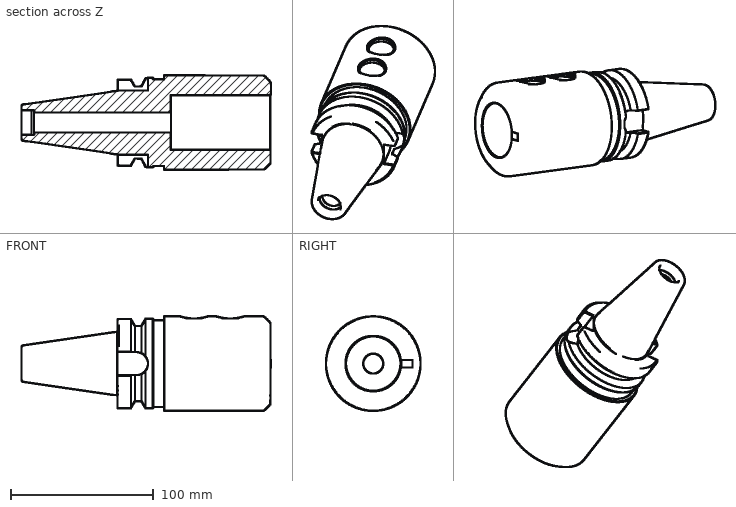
import cadquery as cq
import math

tolerance = 0.001

nose_face = 175.0
overall_length = 175.38
gauge_length = 65.4
flange_face = 67.4
flange_end = 92.65
body_start = 100.0

gauge_diameter = 44.45
taper_ratio = 7 / 24
neck_fillet = 0.4
flange_diameter = 63.0
relief_diameter = 61.0
body_diameter = 66.53

tail_fillet = 2.0
flange_fillet = 1.0
step_chamfer = 0.5
nose_chamfer = 4.8
nose_outer_fillet = 2.5
nose_inner_fillet = 1.5

groove_center = 82.0
groove_floor_width = 4.7
groove_floor_diameter = 53.2
groove_flank_angle = 60.0

keyway_width = 16.1
keyway_floor = 22.6
keyway_end = 88.9
keyway_chamfer = 0.5

thread_bore_diameter = 13.84
pilot_diameter = 17.0
pilot_depth = 7.0
pilot_mouth_fillet = 0.75
pilot_relief_diameter = 17.32
pilot_relief_depth = 9.0
pilot_relief_fillet = 0.6

tool_bore_diameter = 38.1
tool_bore_mouth_diameter = 39.1
tool_bore_depth = 70.0

screw_diameter = 17.5
screw_mouth_diameter = 20.0
screw_count = 2
screw_spacing = 25.4
last_screw_x = 146.6

pad_length = 8.0
pad_width = 5.2
pad_center = 23.7


def round_edge(solid, x, radius, fillet):
    """Fillet the circular edge of the given radius that lies in the plane at x."""

    def lies_here(edge):
        return abs(edge.Center().x - x) < tolerance and abs(edge.radius() - radius) < tolerance

    return solid.edges("%CIRCLE").filter(lies_here).fillet(fillet)


def make_blank():
    """Solid of revolution with the taper, flange, groove and body."""
    gauge_radius = gauge_diameter / 2
    tail_radius = gauge_radius - gauge_length * taper_ratio / 2
    flange_radius = flange_diameter / 2
    relief_radius = relief_diameter / 2
    body_radius = body_diameter / 2
    floor_radius = groove_floor_diameter / 2
    floor_half = groove_floor_width / 2
    flank_run = (flange_radius - floor_radius) / math.tan(math.radians(groove_flank_angle))
    profile = [
        (0, 0),
        (0, tail_radius),
        (gauge_length, gauge_radius),
        (flange_face, gauge_radius),
        (flange_face, flange_radius),
        (groove_center - floor_half - flank_run, flange_radius),
        (groove_center - floor_half, floor_radius),
        (groove_center + floor_half, floor_radius),
        (groove_center + floor_half + flank_run, flange_radius),
        (flange_end - step_chamfer, flange_radius),
        (flange_end, flange_radius - step_chamfer),
        (flange_end, relief_radius),
        (body_start, relief_radius),
        (body_start, body_radius - step_chamfer),
        (body_start + step_chamfer, body_radius),
        (nose_face - nose_chamfer, body_radius),
        (nose_face, body_radius - nose_chamfer),
        (nose_face, 0),
    ]
    blank = cq.Workplane("XZ").polyline(profile).close().revolve(360, (0, 0, 0), (1, 0, 0))

    blank = round_edge(blank, 0, tail_radius, tail_fillet)
    blank = round_edge(blank, flange_face, gauge_radius, neck_fillet)
    blank = round_edge(blank, flange_face, flange_radius, flange_fillet)
    blank = round_edge(blank, nose_face - nose_chamfer, body_radius, nose_outer_fillet)
    return round_edge(blank, nose_face, body_radius - nose_chamfer, nose_inner_fillet)


def make_bores():
    """Revolved cutter for the stepped bore running through the whole part."""
    pilot_radius = pilot_diameter / 2
    relief_radius = pilot_relief_diameter / 2
    thread_radius = thread_bore_diameter / 2
    tool_radius = tool_bore_diameter / 2
    tool_mouth_radius = tool_bore_mouth_diameter / 2
    bore_floor = nose_face - tool_bore_depth
    mid_arc_inset = 1 - math.sqrt(0.5)
    mouth_inset = pilot_mouth_fillet * mid_arc_inset
    corner_inset = pilot_relief_fillet * mid_arc_inset
    return (
        cq.Workplane("XZ")
        .moveTo(0, 0)
        .lineTo(0, pilot_radius + pilot_mouth_fillet)
        .threePointArc((mouth_inset, pilot_radius + mouth_inset), (pilot_mouth_fillet, pilot_radius))
        .lineTo(pilot_depth, pilot_radius)
        .lineTo(pilot_depth, relief_radius)
        .lineTo(pilot_relief_depth - pilot_relief_fillet, relief_radius)
        .threePointArc(
            (pilot_relief_depth - corner_inset, relief_radius - corner_inset),
            (pilot_relief_depth, relief_radius - pilot_relief_fillet),
        )
        .lineTo(pilot_relief_depth, thread_radius)
        .lineTo(bore_floor, thread_radius)
        .lineTo(bore_floor, tool_radius)
        .lineTo(nose_face - (tool_mouth_radius - tool_radius), tool_radius)
        .lineTo(nose_face, tool_mouth_radius)
        .lineTo(nose_face, 0)
        .close()
        .revolve(360, (0, 0, 0), (1, 0, 0))
    )


def make_keyway(side):
    """Round-ended cutter for the keyway on the +Y (side=1) or -Y (side=-1) face."""
    radius = keyway_width / 2
    arc_start = keyway_end - radius
    depth = body_diameter / 2 - keyway_floor
    return (
        cq.Workplane("XZ", origin=(0, side * keyway_floor, 0))
        .moveTo(flange_face, -radius)
        .lineTo(arc_start, -radius)
        .threePointArc((keyway_end, 0), (arc_start, radius))
        .lineTo(flange_face, radius)
        .close()
        .extrude(-side * depth)
    )


def make_screw_hole(x):
    """Cutter for one set screw hole from the top into the tool bore, with a countersunk mouth."""
    top = body_diameter / 2
    mouth_step = (screw_mouth_diameter - screw_diameter) / 2
    mouth_depth = top - math.sqrt(top**2 - (screw_mouth_diameter / 2) ** 2)
    profile = [
        (0, 0),
        (screw_diameter / 2, 0),
        (screw_diameter / 2, top - mouth_depth - mouth_step),
        (screw_mouth_diameter / 2, top - mouth_depth),
        (screw_mouth_diameter / 2, top),
        (0, top),
    ]
    return cq.Workplane("XZ", origin=(x, 0, 0)).polyline(profile).close().revolve(360, (0, 0, 0), (0, 1, 0))


def chamfer_keyways(solid):
    """Break the straight keyway wall edges on the front and rim of the flange."""
    wall = keyway_width / 2

    def is_wall_edge(edge):
        box = edge.BoundingBox()
        on_wall = abs(abs(box.center.z) - wall) < tolerance and box.zlen < tolerance
        on_floor = abs(abs(edge.Center().y) - keyway_floor) < tolerance
        in_groove = box.xmax > groove_center - groove_floor_width / 2 - tolerance
        return on_wall and not on_floor and not in_groove

    return solid.edges().filter(is_wall_edge).chamfer(keyway_chamfer)


def make_nose_pad():
    """Small raised rectangular pad on the end face, beside the tool bore on the +Y side."""
    height = overall_length - nose_face
    return cq.Workplane("XY").box(height, pad_length, pad_width).translate(
        (nose_face + height / 2, pad_center, 0)
    )


result = make_blank().cut(make_bores())
for side in (1, -1):
    result = result.cut(make_keyway(side))
result = chamfer_keyways(result)
for index in range(screw_count):
    screw_x = last_screw_x - index * screw_spacing
    result = result.cut(make_screw_hole(screw_x))
result = result.union(make_nose_pad())